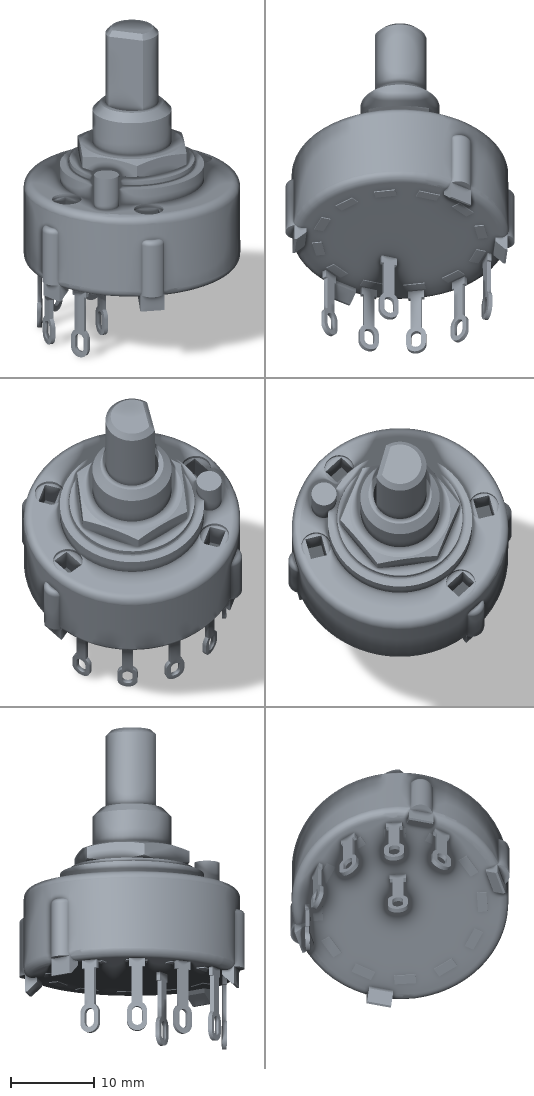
import cadquery as cq
import math


housing_diameter = 26
housing_bottom = 8.85
housing_top = 19.32
rim_fillet = (housing_diameter - 24.0) / 2
collar_diameter = 17.35
collar_top = 21.25
collar_recess_diameter = 15.3
collar_recess_depth = 0.1

bushing_diameter = 9.5
bushing_top = 29.25
bushing_chamfer = 0.97
washer_seat_diameter = 10.25
washer_diameter = 15.0
washer_gap = 0.1
washer_bottom = collar_top + washer_gap
washer_top = 21.9
nut_top = 24.17
nut_across_flats = 12.55
nut_across_corners = nut_across_flats / math.cos(math.pi / 6)
nut_face_diameter = 12.1
nut_chamfer_height = 0.45
nut_turn = -6.3

peg_diameter = 3.0
peg_top = 23.28
peg_offset = 9.45

shaft_diameter = 6.35
shaft_bottom = housing_top
shaft_top = 38.8
shaft_chamfer = 0.62
shaft_flat_offset = 2.33

station_angle = 60
station_angles = [station_angle, 180 - station_angle, 180 + station_angle, -station_angle]
rib_diameter = 3.0
rib_center_radius = 12.3
rib_bottom = 9.27
rib_top = 16.4
rib_fillet = 0.62
foot_width = 2.95
foot_outer_radius = 12.85
foot_bottom = 7.18
foot_tip_thickness = 0.27
foot_root_thickness = 1.47
foot_bevel_height = 1.13
pocket_radius = 10.4
pocket_diameter = 3.55
pocket_depth = 0.4
slot_width = 2.65
slot_thickness = 1.98
slot_depth = 3.1

terminal_thickness = 0.5
eye_width = 2.4
eye_length = 3.6
eye_hole_width = 1.25
eye_hole_length = 2.3
stem_width = 1.3
shoulder_width = 1.95
shoulder_bottom = 7.85
terminal_circle_radius = 11.1
terminal_angles = [135, 165, 195, 225, 255]
common_terminal_radius = 4.05
common_terminal_angle = 225

pad_count = 12
pad_width = 2.6
pad_depth = 1.15
pad_height = 0.1
pad_circle_radius = 9.9
first_pad_angle = 15


def cylinder(diameter, bottom, top):
    return cq.Workplane("XY").workplane(offset=bottom).circle(diameter / 2).extrude(top - bottom)


def turned(shape, angle):
    return shape.rotate((0, 0, 0), (0, 0, 1), angle)


def make_drum():
    drum = cylinder(housing_diameter, housing_bottom, housing_top).edges().fillet(rim_fillet)
    collar = cylinder(collar_diameter, housing_bottom + rim_fillet, collar_top)
    recess = cylinder(collar_recess_diameter, collar_top - collar_recess_depth, collar_top)
    return drum.union(collar).cut(recess)


def make_bushing():
    bushing = cylinder(bushing_diameter, housing_top, bushing_top)
    seat = cylinder(washer_seat_diameter, housing_top, washer_bottom)
    return bushing.faces(">Z").chamfer(bushing_chamfer).union(seat)


def make_nut():
    height = nut_top - washer_top
    hexagon = cq.Workplane("XY").workplane(offset=washer_top).polygon(6, nut_across_corners).extrude(height)
    face_radius = nut_face_diameter / 2
    corner_radius = nut_across_corners / 2
    bevel = (
        cq.Workplane("XZ")
        .polyline([
            (0, washer_top),
            (face_radius, washer_top),
            (corner_radius, washer_top + nut_chamfer_height),
            (corner_radius, nut_top - nut_chamfer_height),
            (face_radius, nut_top),
            (0, nut_top),
        ])
        .close()
        .revolve(360, (0, 0, 0), (0, 1, 0))
    )
    return turned(hexagon.intersect(bevel), nut_turn)


def make_peg():
    return cylinder(peg_diameter, housing_bottom + rim_fillet, peg_top).translate((0, -peg_offset, 0))


def make_rib():
    rib = cylinder(rib_diameter, rib_bottom, rib_top).faces(">Z").edges().fillet(rib_fillet)
    return rib.translate((rib_center_radius, 0, 0))


def make_foot():
    return (
        cq.Workplane("XZ")
        .polyline([
            (foot_outer_radius, foot_bottom),
            (foot_outer_radius, rib_bottom),
            (foot_outer_radius - foot_root_thickness, rib_bottom),
            (foot_outer_radius - foot_root_thickness, foot_bottom + foot_bevel_height),
            (foot_outer_radius - foot_tip_thickness, foot_bottom),
        ])
        .close()
        .extrude(foot_width / 2, both=True)
    )


def make_pocket():
    pocket_floor = housing_top - pocket_depth
    round_pocket = cylinder(pocket_diameter, pocket_floor, housing_top)
    slot = cylinder(pocket_diameter, pocket_floor - slot_depth, pocket_floor).intersect(
        cq.Workplane("XY").box(slot_thickness, slot_width, 2 * housing_top)
    )
    return round_pocket.union(slot).translate((pocket_radius, 0, 0))


def terminal_strip(width, bottom, top):
    return (
        cq.Workplane("YZ")
        .center(0, (bottom + top) / 2)
        .rect(width, top - bottom)
        .extrude(terminal_thickness / 2, both=True)
    )


def terminal_slot_shape(length, width):
    return (
        cq.Workplane("YZ")
        .center(0, eye_length / 2)
        .slot2D(length, width, 90)
        .extrude(terminal_thickness / 2, both=True)
    )


def make_terminal(radius, angle):
    root = housing_bottom + rim_fillet
    terminal = (
        terminal_slot_shape(eye_length, eye_width)
        .union(terminal_strip(stem_width, eye_length / 2, root))
        .union(terminal_strip(shoulder_width, shoulder_bottom, root))
        .cut(terminal_slot_shape(eye_hole_length, eye_hole_width))
    )
    return turned(terminal.translate((radius, 0, 0)), angle)


def make_pad():
    pad = cq.Workplane("XY").box(pad_depth, pad_width, 2 * pad_height)
    return pad.translate((pad_circle_radius, 0, housing_bottom))


def make_shaft():
    shaft = cylinder(shaft_diameter, shaft_bottom, shaft_top)
    beyond_flat = (
        cq.Workplane("XY")
        .box(shaft_diameter, shaft_diameter, shaft_top, centered=(True, False, False))
        .translate((0, -shaft_flat_offset - shaft_diameter, 0))
    )
    return shaft.cut(beyond_flat).faces(">Z").chamfer(shaft_chamfer)


def make_housing():
    housing = make_drum().union(make_bushing()).union(make_peg())
    housing = housing.union(cylinder(washer_diameter, washer_bottom, washer_top)).union(make_nut())
    for angle in station_angles:
        housing = housing.union(turned(make_rib(), angle)).union(turned(make_foot(), angle))
        housing = housing.cut(turned(make_pocket(), angle))
    for index in range(pad_count):
        housing = housing.union(turned(make_pad(), first_pad_angle + index * 360 / pad_count))
    for angle in terminal_angles:
        housing = housing.union(make_terminal(terminal_circle_radius, angle))
    housing = housing.union(make_terminal(common_terminal_radius, common_terminal_angle))
    return housing.cut(cylinder(shaft_diameter, shaft_bottom, bushing_top))


housing = make_housing()
shaft = make_shaft()

result = cq.Compound.makeCompound([housing.val(), shaft.val()])